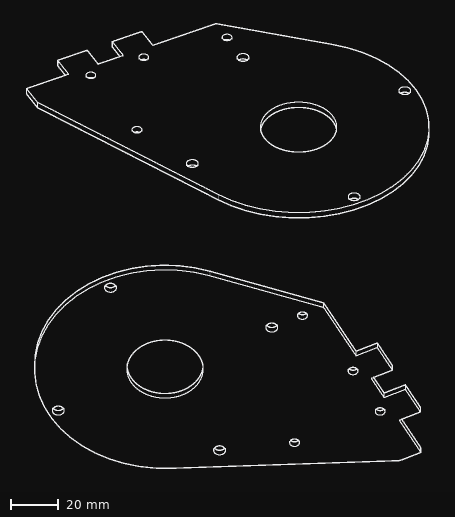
import cadquery as cq
import math

thickness = 3.0
head_radius = 55.0
left_x = -75.0
bottom_y = -90.0
bottom_edge_length = 10.0

tab_length = 10.0
tab_width = 14.0
tab_top_ys = (-30.0, -56.0)

bore_diameter = 32.0
bolt_hole_diameter = 5.0
bolt_circle_radius = 50.5
bolt_count = 4
small_hole_diameter = 4.0
tab_hole_x = left_x + tab_length / 2
small_hole_centers = [
    (-65.0, 0),
    (tab_hole_x, -37.0),
    (tab_hole_x, -62.0),
    (-30.0, -61.0),
]


def tangent_point(corner, side):
    """Point where a line from corner touches the head; side is +1 or -1 around the head."""
    x, y = corner
    angle = math.atan2(y, x) + side * math.acos(head_radius / math.hypot(x, y))
    return head_radius * math.cos(angle), head_radius * math.sin(angle)


def make_plate():
    upper_corner = (left_x, 0)
    lower_corner = (left_x + bottom_edge_length, bottom_y)
    return (
        cq.Workplane("XY")
        .moveTo(*upper_corner)
        .lineTo(left_x, bottom_y)
        .lineTo(*lower_corner)
        .lineTo(*tangent_point(lower_corner, 1))
        .threePointArc((head_radius, 0), tangent_point(upper_corner, -1))
        .close()
        .extrude(thickness)
    )


def make_tab(top_y):
    return (
        cq.Workplane("XY")
        .center(left_x, top_y - tab_width / 2)
        .rect(2 * tab_length, tab_width)
        .extrude(thickness)
    )


def make_holes(centers, diameter):
    return cq.Workplane("XY").pushPoints(centers).circle(diameter / 2).extrude(thickness)


bolt_angles = [2 * math.pi * i / bolt_count for i in range(bolt_count)]
bolt_centers = [
    (bolt_circle_radius * math.cos(angle), bolt_circle_radius * math.sin(angle))
    for angle in bolt_angles
]

result = make_plate()
for tab_top_y in tab_top_ys:
    result = result.union(make_tab(tab_top_y))
result = result.cut(make_holes([(0, 0)], bore_diameter))
result = result.cut(make_holes(bolt_centers, bolt_hole_diameter))
result = result.cut(make_holes(small_hole_centers, small_hole_diameter))
result = result.clean()